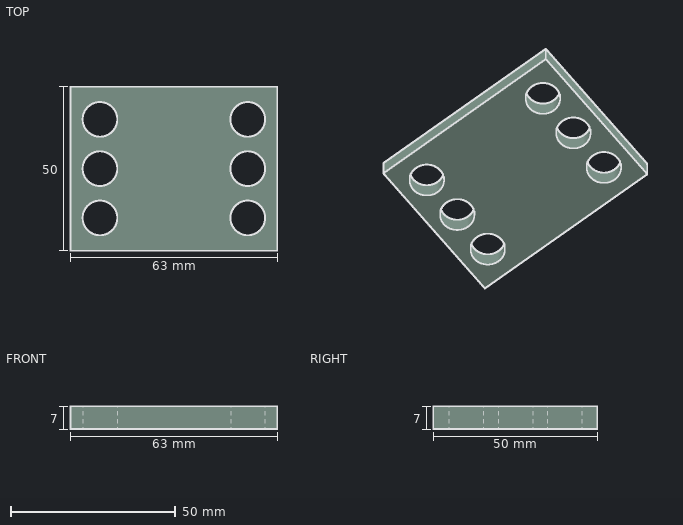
import cadquery as cq

length = 63.0
width = 50.0
thickness = 7.0

hole_diameter = 10.5
column_spacing = 45.0
row_spacing = 15.0
column_count = 2
row_count = 3


def make_plate():
    """Rectangular plate centred in X and Y, resting on Z = 0."""
    return cq.Workplane("XY").box(length, width, thickness, centered=(True, True, False))


def drill_holes(plate):
    """Plain holes through the full thickness, on a centred grid."""
    return (
        plate.faces(">Z")
        .workplane()
        .rarray(column_spacing, row_spacing, column_count, row_count)
        .hole(hole_diameter)
    )


result = drill_holes(make_plate())